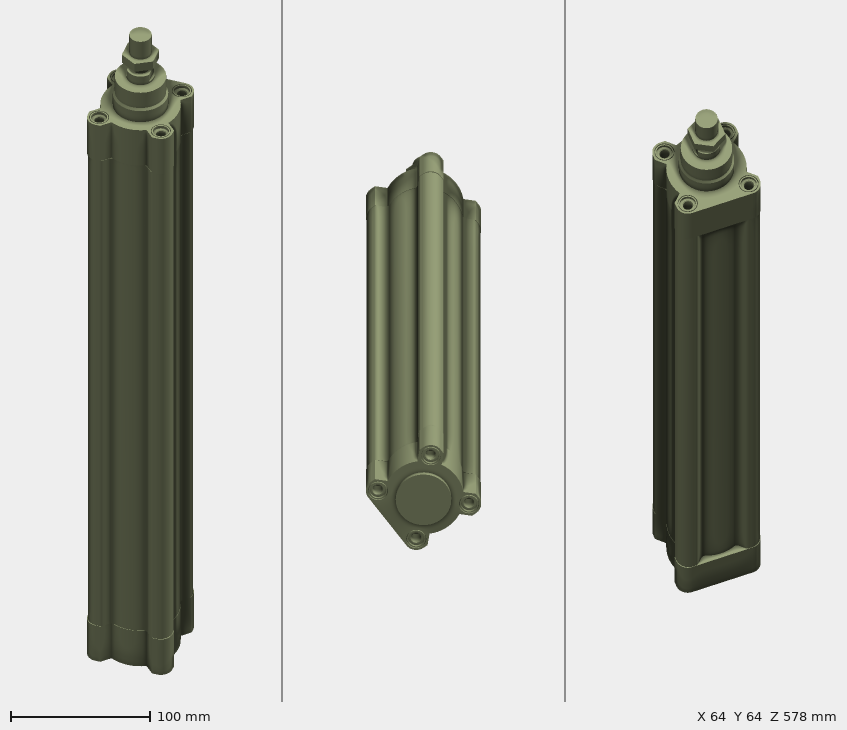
import cadquery as cq
import math

ROD_TIP = 578.0
REAR_CAP_BOTTOM = 4.0
REAR_CAP_TOP = 37.5
FRONT_CAP_BOTTOM = 478.5
FRONT_CAP_TOP = 512.0
COLLAR_STEP_BOTTOM = 522.5
COLLAR_STEP_TOP = 524.0
COLLAR_TOP = 538.5
ROD_FLAT_BOTTOM = 540.0
ROD_SHOULDER = 546.5
NECK_TOP = 549.0
THREAD_BOTTOM = 550.5
NUT_BOTTOM = 553.5
NUT_HEIGHT = 7.5

CAP_WIDTH = 64.0
CAP_BODY_DIAMETER = 58.0
CAP_LOBE_FACE_START = 19.5
CAP_CORNER_RADIUS = 8.5

BARREL_INSET = 0.3
BARREL_WIDTH = CAP_WIDTH - 2 * BARREL_INSET
BARREL_BODY_DIAMETER = CAP_BODY_DIAMETER - 2 * BARREL_INSET
BARREL_LOBE_FACE_START = 19.0
BARREL_CORNER_RADIUS = 9.0
BARREL_FLANK_FILLET = 3.5

COLLAR_DIAMETER = 40.0
COLLAR_TIP_DIAMETER = 37.0

SCREW_SPACING = CAP_WIDTH - 2 * CAP_CORNER_RADIUS
SCREW_GAP_DIAMETER = 14.5
SCREW_HEAD_DIAMETER = 13.5
SCREW_SOCKET_DIAMETER = 11.5
SCREW_RECESS_DEPTH = 2.5
SCREW_HOLE_MOUTH = 8.0
SCREW_HOLE_DIAMETER = 7.0
SCREW_HOLE_DEPTH = 16.0

ROD_DIAMETER = 20.0
ROD_WIDTH_ACROSS_FLATS = 17.0
ROD_BORE_DEPTH = 29.0
THREAD_DIAMETER = 16.0
NECK_DIAMETER = 13.5
NUT_WIDTH = 23.5
NUT_CORNER_DIAMETER = NUT_WIDTH / math.cos(math.pi / 6)


def cylinder(diameter, bottom, top):
    return cq.Workplane("XY", origin=(0, 0, bottom)).circle(diameter / 2).extrude(top - bottom)


def cone(bottom_diameter, top_diameter, bottom, top):
    return cq.Workplane("XY").add(
        cq.Solid.makeCone(bottom_diameter / 2, top_diameter / 2, top - bottom, pnt=cq.Vector(0, 0, bottom))
    )


def lobe(width, face_start, corner_radius, bottom, top):
    """Lobe at the (+X, +Y) corner: two 45-degree flanks, two faces and a rounded outer corner."""
    half_width = width / 2
    flank_offset = half_width - face_start
    outline = [
        (0, 0),
        (flank_offset, 0),
        (half_width, face_start),
        (half_width, half_width),
        (face_start, half_width),
        (0, flank_offset),
    ]
    solid = cq.Workplane("XY", origin=(0, 0, bottom)).polyline(outline).close().extrude(top - bottom)
    return solid.edges(">(1, 1, 0)").fillet(corner_radius)


def lobed_section(body_diameter, width, face_start, corner_radius, bottom, top):
    section = cylinder(body_diameter, bottom, top)
    corner_lobe = lobe(width, face_start, corner_radius, bottom, top)
    for quarter_turn in range(4):
        section = section.union(corner_lobe.rotate((0, 0, 0), (0, 0, 1), 90 * quarter_turn))
    return section


def is_flank_edge(edge):
    """True for the barrel edges at both ends of each flank, the only ones on the flank planes."""
    x, y, _ = edge.Center().toTuple()
    flank_offset = BARREL_WIDTH / 2 - BARREL_LOBE_FACE_START
    return math.isclose(abs(abs(x) - abs(y)), flank_offset, abs_tol=0.005)


def make_barrel():
    """Lobed bar whose flanks blend into the round body and into the lobe faces."""
    barrel = lobed_section(
        BARREL_BODY_DIAMETER,
        BARREL_WIDTH,
        BARREL_LOBE_FACE_START,
        BARREL_CORNER_RADIUS,
        REAR_CAP_TOP,
        FRONT_CAP_BOTTOM,
    )
    return barrel.edges("|Z").filter(is_flank_edge).fillet(BARREL_FLANK_FILLET)


def make_cap(bottom, top):
    """Lobed cap with a flat wall between the two lobes on the +Y side."""
    cap = lobed_section(
        CAP_BODY_DIAMETER, CAP_WIDTH, CAP_LOBE_FACE_START, CAP_CORNER_RADIUS, bottom, top
    )
    wall = cq.Workplane("XY", origin=(0, 0, bottom)).box(
        SCREW_SPACING, CAP_WIDTH / 2, top - bottom, centered=(True, False, False)
    )
    return cap.union(wall)


def screw_cutters():
    """Two cutters for one screw, sunk from Z = 0: the gap around its head, and its socket with a hole."""
    gap = cylinder(SCREW_GAP_DIAMETER, -SCREW_RECESS_DEPTH, 0)
    gap = gap.cut(cylinder(SCREW_HEAD_DIAMETER, -SCREW_RECESS_DEPTH, 0))
    socket = cylinder(SCREW_SOCKET_DIAMETER, -SCREW_RECESS_DEPTH, 0)
    mouth_depth = (SCREW_HOLE_MOUTH - SCREW_HOLE_DIAMETER) / 2
    mouth_bottom = -SCREW_RECESS_DEPTH - mouth_depth
    mouth = cone(SCREW_HOLE_DIAMETER, SCREW_HOLE_MOUTH, mouth_bottom, -SCREW_RECESS_DEPTH)
    hole = cylinder(SCREW_HOLE_DIAMETER, -SCREW_HOLE_DEPTH, -SCREW_RECESS_DEPTH)
    return gap, socket.union(mouth).union(hole)


def cut_screws(housing):
    offset = SCREW_SPACING / 2
    for cutter in screw_cutters():
        front = cutter.translate((0, 0, FRONT_CAP_TOP))
        rear = cutter.mirror("XY").translate((0, 0, REAR_CAP_BOTTOM))
        for x in (-offset, offset):
            for y in (-offset, offset):
                housing = housing.cut(front.translate((x, y, 0)))
                housing = housing.cut(rear.translate((x, y, 0)))
    return housing


def make_housing():
    housing = (
        make_barrel()
        .union(make_cap(REAR_CAP_BOTTOM, REAR_CAP_TOP))
        .union(make_cap(FRONT_CAP_BOTTOM, FRONT_CAP_TOP))
        .union(cylinder(COLLAR_DIAMETER, 0, REAR_CAP_BOTTOM))
        .union(cylinder(COLLAR_DIAMETER, FRONT_CAP_TOP, COLLAR_STEP_BOTTOM))
        .union(cone(COLLAR_DIAMETER, COLLAR_TIP_DIAMETER, COLLAR_STEP_BOTTOM, COLLAR_STEP_TOP))
        .union(cylinder(COLLAR_TIP_DIAMETER, COLLAR_STEP_TOP, COLLAR_TOP))
        .cut(cylinder(ROD_DIAMETER, COLLAR_TOP - ROD_BORE_DEPTH, COLLAR_TOP))
    )
    return cut_screws(housing)


def make_rod():
    """Piston rod with two wrench flats facing -X and +X, a thread relief neck and a thread."""
    shank = cylinder(ROD_DIAMETER, COLLAR_TOP - ROD_BORE_DEPTH, ROD_SHOULDER)
    flats = (
        cq.Workplane("XY", origin=(0, 0, ROD_FLAT_BOTTOM))
        .rect(2 * ROD_DIAMETER, 2 * ROD_DIAMETER)
        .rect(ROD_WIDTH_ACROSS_FLATS, 2 * ROD_DIAMETER)
        .extrude(ROD_SHOULDER - ROD_FLAT_BOTTOM)
    )
    return (
        shank.cut(flats)
        .union(cylinder(NECK_DIAMETER, ROD_SHOULDER, NECK_TOP))
        .union(cone(NECK_DIAMETER, THREAD_DIAMETER, NECK_TOP, THREAD_BOTTOM))
        .union(cylinder(THREAD_DIAMETER, THREAD_BOTTOM, ROD_TIP))
    )


def make_nut():
    """Hexagon nut with two of its flats facing -X and +X."""
    return (
        cq.Workplane("XY", origin=(0, 0, NUT_BOTTOM))
        .transformed(rotate=(0, 0, 90))
        .polygon(6, NUT_CORNER_DIAMETER)
        .circle(THREAD_DIAMETER / 2)
        .extrude(NUT_HEIGHT)
    )


housing = make_housing()
rod = make_rod()
nut = make_nut()
result = cq.Compound.makeCompound([body.solids().val() for body in (housing, rod, nut)])